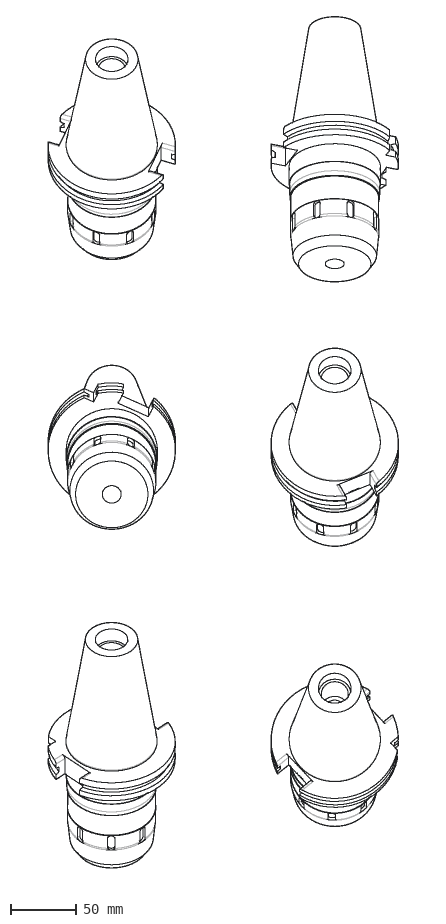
import cadquery as cq
import math

total_length = 206.8
taper_length = 101.7
gauge_plane_z = total_length - taper_length

gauge_radius = 35.0
taper_ratio = 7 / 24
taper_tip_radius = gauge_radius - taper_length * taper_ratio / 2

flange_radius = 48.8
flange_top_gap = 1.0
flange_top_z = gauge_plane_z - flange_top_gap
flange_bottom_z = 86.0
groove_floor_radius = 45.7
groove_top_z = 97.8
groove_bottom_z = 91.0
groove_top_slope = 1.7
groove_bottom_slope = 1.0

slot_width = 25.6
slot_edge_radius = 2.5
slot_floor_left = 37.6
slot_floor_right = 35.5

notch_x = 30.4
notch_y = 30.2

collar_radius = 34.5
collar_top_z = 70.5
collar_line_z = 62.5
collar_bottom_z = 58.5
collar_line_radius = 34.3
body_radius = 33.7
step_chamfer = 0.5

nut_radius = 34.0
nut_top_z = 37.8
nut_band_z = 25.0
nut_skirt_top_z = 23.2
nut_skirt_top_radius = 33.5
nut_skirt_middle_radius = 32.9
nut_skirt_bottom_radius = 32.0
nose_chamfer_z = 7.0
nose_radius = 27.7

spanner_count = 8
spanner_width = 5.5
spanner_top_z = 37.6
spanner_bottom_z = 23.2
spanner_floor_distance = 31.5

counterbore_radius = 12.5
counterbore_depth = 12.0
thread_radius = 10.3
thread_end_depth = 41.4
through_radius = 7.2


def make_turned_body():
    """Revolve the half profile of taper, flange, body and nut."""
    skirt_middle = (nut_skirt_middle_radius, (nut_skirt_top_z + nose_chamfer_z) / 2)
    profile = (
        cq.Workplane("XZ")
        .moveTo(0, 0)
        .lineTo(nose_radius, 0)
        .lineTo(nut_skirt_bottom_radius, nose_chamfer_z)
        .threePointArc(skirt_middle, (nut_skirt_top_radius, nut_skirt_top_z))
        .lineTo(nut_radius, nut_band_z)
        .lineTo(nut_radius, nut_top_z)
        .lineTo(body_radius, nut_top_z + step_chamfer)
        .lineTo(body_radius, collar_bottom_z - step_chamfer)
        .lineTo(collar_line_radius, collar_bottom_z)
        .lineTo(collar_radius, collar_line_z)
        .lineTo(collar_radius, collar_top_z)
        .lineTo(gauge_radius, collar_top_z)
        .lineTo(gauge_radius, flange_bottom_z)
        .lineTo(flange_radius, flange_bottom_z)
        .lineTo(flange_radius, groove_bottom_z)
        .lineTo(groove_floor_radius, groove_bottom_z + groove_bottom_slope)
        .lineTo(groove_floor_radius, groove_top_z - groove_top_slope)
        .lineTo(flange_radius, groove_top_z)
        .lineTo(flange_radius, flange_top_z)
        .lineTo(gauge_radius, flange_top_z)
        .lineTo(gauge_radius, gauge_plane_z)
        .lineTo(taper_tip_radius, total_length)
        .lineTo(0, total_length)
        .close()
    )
    return profile.revolve(360, (0, 0, 0), (0, 1, 0))


def make_drive_slot(floor_distance, side):
    """Cutter for one drive slot; side is -1 for -X and +1 for +X."""
    half_width = slot_width / 2
    mouth_half_width = half_width + slot_edge_radius
    rounding_z = flange_top_z - slot_edge_radius
    arc_inset = slot_edge_radius * (1 - math.sqrt(0.5))
    arc_middle_z = flange_top_z - arc_inset
    section = (
        cq.Workplane("YZ", origin=(side * floor_distance, 0, 0))
        .moveTo(-half_width, flange_bottom_z)
        .lineTo(half_width, flange_bottom_z)
        .lineTo(half_width, rounding_z)
        .threePointArc((half_width + arc_inset, arc_middle_z), (mouth_half_width, flange_top_z))
        .lineTo(-mouth_half_width, flange_top_z)
        .threePointArc((-half_width - arc_inset, arc_middle_z), (-half_width, rounding_z))
        .close()
    )
    return section.extrude(side * flange_radius)


def make_corner_notch():
    """Cutter for the orientation notch, open to -X and +Y."""
    flange_thickness = flange_top_z - flange_bottom_z
    block = cq.Workplane("XY").box(flange_radius, flange_radius, flange_thickness, centered=False)
    return block.translate((-notch_x - flange_radius, notch_y, flange_bottom_z))


def make_spanner_groove(angle):
    """Cutter for one round-ended, flat-bottomed groove at the given angle."""
    groove_length = spanner_top_z - spanner_bottom_z
    groove_middle_z = (spanner_top_z + spanner_bottom_z) / 2
    return (
        cq.Workplane("YZ", origin=(spanner_floor_distance, 0, groove_middle_z))
        .slot2D(groove_length, spanner_width, 90)
        .extrude(nut_radius)
        .rotate((0, 0, 0), (0, 0, 1), angle)
    )


def drill_bores(body):
    """Stepped bore from the small end of the taper, running right through."""
    body = body.faces(">Z").workplane().hole(2 * through_radius)
    body = body.faces(">Z").workplane().hole(2 * thread_radius, thread_end_depth)
    return body.faces(">Z").workplane().hole(2 * counterbore_radius, counterbore_depth)


holder = make_turned_body()
holder = holder.cut(make_drive_slot(slot_floor_left, -1))
holder = holder.cut(make_drive_slot(slot_floor_right, 1))
holder = holder.cut(make_corner_notch())
for index in range(spanner_count):
    holder = holder.cut(make_spanner_groove(index * 360 / spanner_count))

result = drill_bores(holder)